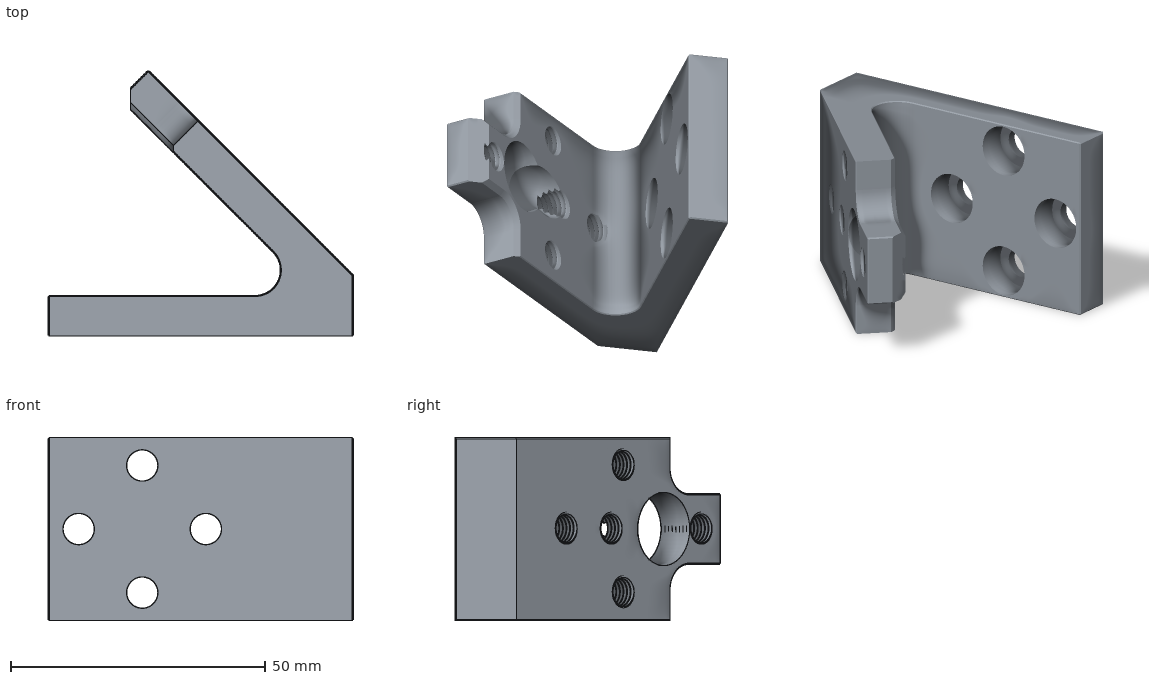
import cadquery as cq
import math

length = 60.0
height = 36.0
plate_thickness = 8.0
heel_y = 12.03
arm_length = 57.0
valley_radius = 5.0

outside_bevel = 0.25
valley_bevel = 0.2

tongue_length = 14.0
tongue_width = 13.9
tongue_fillet = 5.1
tongue_bevel = 1.0
tip_bevel = 3.0

bolt_circle_x = 18.5
bolt_circle_radius = 12.5
bolt_count = 4
clearance_diameter = 6.1
counterbore_diameter = 10.1
counterbore_floor = 2.0

beam_hole_diameter = 14.4
beam_hole_position = 16.0

first_thread_position = 5.3
fan_radius = 25.0
fan_angle = 30.0
last_thread_offset = 37.5

thread_minor_radius = 2.75
thread_depth = 0.6
thread_pitch = 1.0
thread_root_width = 0.9
thread_crest_width = 0.04
thread_overlap = 0.1
thread_overrun = 2.0

diagonal = math.sqrt(0.5)
arm_direction = cq.Vector(diagonal, -diagonal, 0)
inner_normal = cq.Vector(-diagonal, -diagonal, 0)
heel = cq.Vector(length, heel_y, 0)
outer_tip = heel - arm_direction * arm_length
inner_tip = outer_tip + inner_normal * plate_thickness
tip_on_end = inner_tip - inner_normal * tip_bevel
tip_on_inner = inner_tip + arm_direction * tip_bevel
valley = cq.Vector(inner_tip.x + inner_tip.y - plate_thickness, plate_thickness, 0)


def arm_plane(position=0, across=0, out=0):
    """Arm frame with its origin moved along its own three axes."""
    origin = inner_tip + arm_direction * position + inner_normal * out
    origin += arm_direction.cross(inner_normal) * -across
    return cq.Plane(origin=origin, xDir=arm_direction, normal=inner_normal)


def nearest(point):
    return cq.selectors.NearestToPointSelector(point.toTuple())


def make_profile():
    """Extrude the V shaped outline and round the bottom of the V."""
    plate_corners = [(0, plate_thickness), (0, 0), (length, 0)]
    arm_corners = [(p.x, p.y) for p in (heel, outer_tip, tip_on_end, tip_on_inner, valley)]
    outline = cq.Workplane("XY").polyline(plate_corners + arm_corners).close()
    body = outline.extrude(height / 2, both=True)
    return body.edges("|Z").edges(nearest(valley)).fillet(valley_radius)


def cut_tongue(body):
    """Remove the arm's corners beside the tongue, leaving concave fillets."""
    overlap = 5.0
    block_length = tongue_length + overlap
    for side in (1, -1):
        inside_corner = arm_plane(tongue_length, side * tongue_width / 2).origin
        block = (
            cq.Workplane(arm_plane(tongue_length - block_length / 2, side * (tongue_width + height) / 2))
            .rect(block_length, height)
            .extrude(2 * plate_thickness, both=True)
            .edges(nearest(inside_corner))
            .fillet(tongue_fillet)
        )
        body = body.cut(block)
    return body


def bevel_tongue(body):
    """Bevel the inner face along both sides of the tongue, fillets and shoulders.

    Each side is one chain of tangent edges, so one edge selects all of it.
    """
    side_middle = (tip_bevel + tongue_length - tongue_fillet) / 2
    for side in (1, -1):
        tongue_side = arm_plane(side_middle, side * tongue_width / 2).origin
        body = body.edges(nearest(tongue_side)).chamfer(tongue_bevel)
    return body


def bevel_valley(body):
    """Bevel the V's inner outline on both sides; each is one tangent chain."""
    for side in (1, -1):
        plate_edge_middle = cq.Vector(valley.x / 2, plate_thickness, side * height / 2)
        body = body.edges(nearest(plate_edge_middle)).chamfer(valley_bevel)
    return body


def bevel_outside(body):
    """Bevel around both plate ends, the arm's end face and its outer face.

    The heel edge and the edge at the large tip bevel stay sharp.
    """
    faces = (
        body.faces("<X").vals()
        + body.faces(">X").vals()
        + body.faces(cq.selectors.DirectionMinMaxSelector(-arm_direction)).vals()
        + body.faces(cq.selectors.DirectionMinMaxSelector(-inner_normal)).vals()
    )
    edges = body.newObject(faces).edges()
    sharp_edges = edges.edges(nearest(heel)).vals() + edges.edges(nearest(tip_on_end)).vals()
    bevelled = [edge for edge in edges.vals() if edge not in sharp_edges]
    return body.newObject(bevelled).chamfer(outside_bevel)


def cut_beam_hole(body):
    """Large plain hole straight through the arm, close to the tongue."""
    drill = cq.Workplane(arm_plane(beam_hole_position)).circle(beam_hole_diameter / 2)
    return body.cut(drill.extrude(-2 * plate_thickness))


def cut_screw_holes(body):
    """Counterbored plate holes; the counterbores run on in +Y through the arm."""
    for index in range(bolt_count):
        angle = 2 * math.pi * index / bolt_count
        x = bolt_circle_x + bolt_circle_radius * math.cos(angle)
        z = bolt_circle_radius * math.sin(angle)
        outside = cq.Workplane(cq.Plane(origin=(x, 0, z), xDir=(1, 0, 0), normal=(0, 1, 0)))
        hole = outside.circle(clearance_diameter / 2).extrude(plate_thickness)
        head_space = outside.workplane(offset=counterbore_floor).circle(counterbore_diameter / 2)
        body = body.cut(hole).cut(head_space.extrude(outer_tip.y))
    return body


def make_thread_tool():
    """Bore with a helical ridge, standing on the XY plane along Z."""
    tool_length = plate_thickness + 2 * thread_overrun
    bore = cq.Workplane("XY").circle(thread_minor_radius).extrude(tool_length)
    helix = cq.Wire.makeHelix(thread_pitch, tool_length, thread_minor_radius)
    root = thread_minor_radius - thread_overlap
    crest = thread_minor_radius + thread_depth
    groove = [
        (root, -thread_root_width / 2),
        (root, thread_root_width / 2),
        (crest, thread_crest_width / 2),
        (crest, -thread_crest_width / 2),
    ]
    ridge = cq.Workplane("XZ").polyline(groove).close().sweep(cq.Workplane(helix), isFrenet=True)
    return bore.union(ridge, clean=False).val()


def cut_threaded_holes(body):
    """Five threaded holes through the arm: one at the tip, a fan of three, one last."""
    offsets = [(0, 0), (last_thread_offset, 0)]
    for step in (-1, 0, 1):
        angle = math.radians(step * fan_angle)
        offsets.append((fan_radius * math.cos(angle), fan_radius * math.sin(angle)))
    tool = make_thread_tool()
    start = -plate_thickness - thread_overrun
    for along, across in offsets:
        place = arm_plane(first_thread_position + along, across, start)
        body = body.cut(cq.Workplane(tool.moved(cq.Location(place))), clean=False)
    return body


result = make_profile()
result = cut_tongue(result)
result = bevel_tongue(result)
result = bevel_valley(result)
result = bevel_outside(result)
result = cut_beam_hole(result)
result = cut_screw_holes(result)
result = cut_threaded_holes(result)